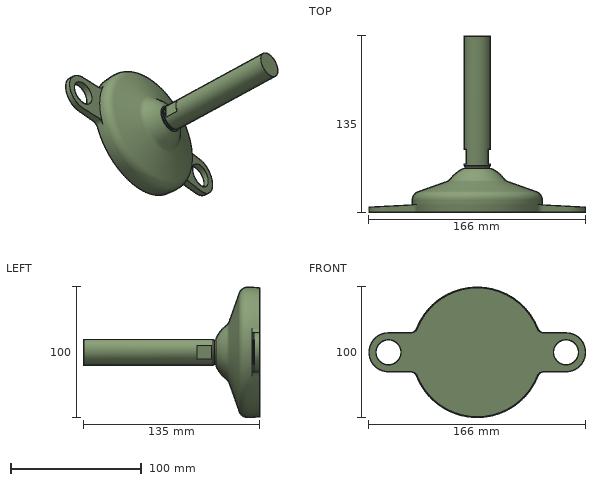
import cadquery as cq
import math


pad_radius = 50.0
pad_base_radius = 49.4
rim_height = 6.0
wall_top = 9.3
shoulder_radius = 7.0
cone_angle = math.radians(19.5)
dome_radius = 26.0
dome_center_y = 10.0
dome_top = 33.7
dome_fillet = 4.5

lug_spacing = 136.0
lug_radius = 15.0
lug_hole_diameter = 19.0
lug_tip_height = 4.1
lug_slope = math.radians(3.0)
lug_root_fillet = 5.0

stem_radius = 10.0
stem_end = 135.0
neck_radius = 9.5
neck_height = 1.2
neck_bevel_height = 1.0
flat_start = 37.1
flat_length = 11.2
across_flats = 17.0


def cone_height(radius):
    """Height of the cone, which leaves the shoulder round tangentially."""
    start_radius = pad_radius - shoulder_radius * (1 - math.sin(cone_angle))
    start_height = wall_top + shoulder_radius * math.cos(cone_angle)
    return start_height + (start_radius - radius) * math.tan(cone_angle)


def shoulder_point(angle):
    """Radius and height on the shoulder round, at an angle from the axis direction."""
    center_radius = pad_radius - shoulder_radius
    return (
        center_radius + shoulder_radius * math.sin(angle),
        wall_top + shoulder_radius * math.cos(angle),
    )


def dome_meeting_radius():
    """Radius at which the cone runs into the spherical dome."""
    slope = math.tan(cone_angle)
    rise = cone_height(0) - dome_center_y
    square_term = 1 + slope**2
    root = math.sqrt((slope * rise) ** 2 - square_term * (rise**2 - dome_radius**2))
    return (slope * rise + root) / square_term


def make_rim():
    """Drafted lower rim of the pad."""
    return (
        cq.Workplane("XY")
        .lineTo(pad_base_radius, 0)
        .lineTo(pad_radius, rim_height)
        .lineTo(0, rim_height)
        .close()
        .revolve(360, (0, 0), (0, 1))
    )


def make_upper_pad():
    """Wall, shoulder, cone and dome above the rim."""
    meeting_radius = dome_meeting_radius()
    meeting_height = cone_height(meeting_radius)
    seat_radius = math.sqrt(dome_radius**2 - (dome_top - dome_center_y) ** 2)
    dome_mid_height = (meeting_height + dome_top) / 2
    dome_mid_radius = math.sqrt(dome_radius**2 - (dome_mid_height - dome_center_y) ** 2)
    shoulder_mid_angle = (cone_angle + math.pi / 2) / 2
    body = (
        cq.Workplane("XY")
        .moveTo(0, rim_height)
        .lineTo(pad_radius, rim_height)
        .lineTo(pad_radius, wall_top)
        .threePointArc(shoulder_point(shoulder_mid_angle), shoulder_point(cone_angle))
        .lineTo(meeting_radius, meeting_height)
        .threePointArc((dome_mid_radius, dome_mid_height), (seat_radius, dome_top))
        .lineTo(0, dome_top)
        .close()
        .revolve(360, (0, 0), (0, 1))
    )
    edge_tolerance = 0.1
    dome_edge = cq.selectors.BoxSelector(
        (-pad_radius, meeting_height - edge_tolerance, -pad_radius),
        (pad_radius, meeting_height + edge_tolerance, pad_radius),
        boundingbox=True,
    )
    return body.edges(dome_edge).fillet(dome_fillet)


def make_lug_trim(rim):
    """Material above the sloping top of the +X lug, outside the rim."""
    tip_x = lug_spacing / 2 + lug_radius
    root_x = pad_radius - 2 * lug_root_fillet
    root_height = lug_tip_height + (tip_x - root_x) * math.tan(lug_slope)
    wedge = (
        cq.Workplane("XY")
        .moveTo(tip_x, lug_tip_height)
        .lineTo(root_x, root_height)
        .lineTo(root_x, 2 * rim_height)
        .lineTo(tip_x, 2 * rim_height)
        .close()
        .extrude(pad_radius, both=True)
    )
    return wedge.cut(rim)


def make_lugged_rim():
    """Rim with both lugs, their root fillets, sloping tops and bolt holes."""
    rim = make_rim()
    lugs = (
        cq.Workplane("XZ")
        .slot2D(lug_spacing + 2 * lug_radius, 2 * lug_radius)
        .extrude(-rim_height)
    )
    body = rim.union(lugs)

    for side in (-1, 1):
        for edge_z in (-lug_radius, lug_radius):
            root_x = side * math.sqrt(pad_radius**2 - edge_z**2)
            middle = (root_x, rim_height / 2, edge_z)
            root_edge = cq.selectors.NearestToPointSelector(middle)
            body = body.edges(root_edge).fillet(lug_root_fillet)

    trim = make_lug_trim(rim)
    holes = (
        cq.Workplane("XZ")
        .pushPoints([(-lug_spacing / 2, 0), (lug_spacing / 2, 0)])
        .circle(lug_hole_diameter / 2)
        .extrude(-rim_height)
    )
    return body.cut(trim).cut(trim.mirror("YZ")).cut(holes)


def make_stem():
    """Round stem with a bevelled neck and two wrench flats facing -X and +X."""
    bevel_start = dome_top + neck_height
    stem = (
        cq.Workplane("XY")
        .moveTo(0, dome_top)
        .lineTo(neck_radius, dome_top)
        .lineTo(neck_radius, bevel_start)
        .lineTo(stem_radius, bevel_start + neck_bevel_height)
        .lineTo(stem_radius, stem_end)
        .lineTo(0, stem_end)
        .close()
        .revolve(360, (0, 0), (0, 1))
    )
    for side in (-1, 1):
        flat_cut = cq.Workplane("XY").box(stem_radius, flat_length, 2 * stem_radius).translate(
            (side * (across_flats + stem_radius) / 2, flat_start + flat_length / 2, 0)
        )
        stem = stem.cut(flat_cut)
    return stem


pad = make_lugged_rim().union(make_upper_pad())
stem = make_stem()

result = cq.Compound.makeCompound([pad.val(), stem.val()])